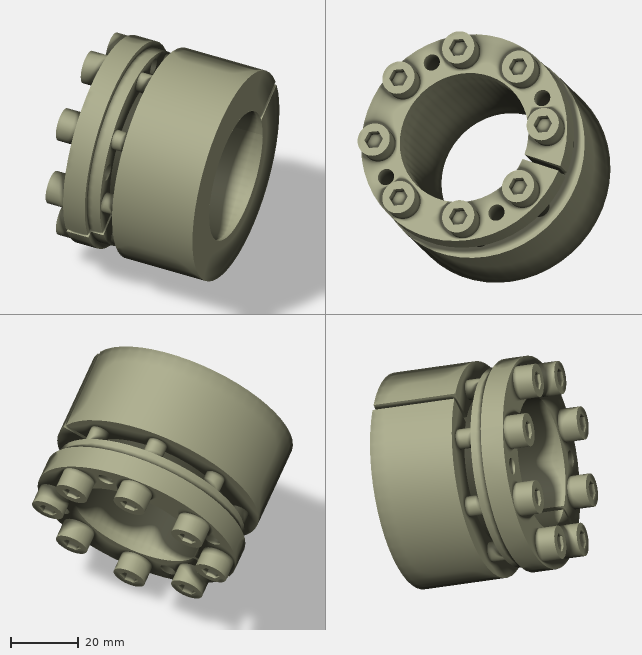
import cadquery as cq
import math


head_length = 6.0
flange_length = 7.0
collar_length = 4.0
gap_length = 5.0
outer_ring_length = 26.0

outer_diameter = 64.95
flange_diameter = 64.0
collar_diameter = 59.95
bore_diameter = 39.95
taper_mouth_diameter = 44.3
taper_end_diameter = 40.15

inner_slit_width = 1.5
outer_slit_width = 2.0
inner_slit_angle = 202.5
outer_slit_angle = inner_slit_angle - 180

screw_count = 8
screw_circle_diameter = 52.5
head_diameter = 10.0
shank_diameter = 6.0
socket_across_flats = 5.0
socket_depth = 3.0
jacking_hole_count = 4
jacking_hole_diameter = 5.0
first_jacking_angle = -180 / screw_count

flange_start = head_length
collar_start = flange_start + flange_length
collar_end = collar_start + collar_length
outer_start = collar_end + gap_length
far_end = outer_start + outer_ring_length

taper_slope = (taper_mouth_diameter - taper_end_diameter) / outer_ring_length
sleeve_root_diameter = taper_mouth_diameter + taper_slope * gap_length


def cylinder(diameter, start, end):
    """Solid cylinder on the X axis."""
    return cq.Workplane("YZ", origin=(start, 0, 0)).circle(diameter / 2).extrude(end - start)


def cone(start_diameter, end_diameter, start, end):
    """Solid truncated cone on the X axis."""
    profile = [
        (start, 0),
        (start, start_diameter / 2),
        (end, end_diameter / 2),
        (end, 0),
    ]
    return cq.Workplane("XY").polyline(profile).close().revolve(360, (0, 0, 0), (1, 0, 0))


def slit(width, angle):
    """Radial slab, reaching from the axis past the rings, that cuts a ring open."""
    slab = cq.Workplane("XY").box(far_end, outer_diameter, width, centered=(False, False, True))
    return slab.rotate((0, 0, 0), (1, 0, 0), angle)


def circle_positions(count, first_angle):
    """Evenly spaced (Y, Z) points on the screw circle."""
    radius = screw_circle_diameter / 2
    angles = [math.radians(first_angle + index * 360 / count) for index in range(count)]
    return [(radius * math.cos(angle), radius * math.sin(angle)) for angle in angles]


def axial_cylinders(diameter, positions, start, end):
    """Cylinders along X at the given (Y, Z) points."""
    plane = cq.Workplane("YZ", origin=(start, 0, 0))
    return plane.pushPoints(positions).circle(diameter / 2).extrude(end - start)


screw_positions = circle_positions(screw_count, 0)
jacking_positions = circle_positions(jacking_hole_count, first_jacking_angle)
screw_holes = axial_cylinders(shank_diameter, screw_positions, flange_start, far_end)


def make_inner_ring():
    """Flange, collar and tapered sleeve in one piece, bored through and slit on one side."""
    flange = cylinder(flange_diameter, flange_start, collar_start)
    collar = cylinder(collar_diameter, collar_start, collar_end)
    sleeve = cone(sleeve_root_diameter, taper_end_diameter, collar_end, far_end)
    ring = flange.union(collar).union(sleeve)
    ring = ring.cut(cylinder(bore_diameter, flange_start, far_end))
    ring = ring.cut(screw_holes)
    ring = ring.cut(axial_cylinders(jacking_hole_diameter, jacking_positions, flange_start, collar_end))
    return ring.cut(slit(inner_slit_width, inner_slit_angle))


def make_outer_ring():
    """Plain cylinder with a tapered bore and a slit opposite the one in the inner ring."""
    ring = cylinder(outer_diameter, outer_start, far_end)
    ring = ring.cut(cone(taper_mouth_diameter, taper_end_diameter, outer_start, far_end))
    ring = ring.cut(screw_holes)
    return ring.cut(slit(outer_slit_width, outer_slit_angle))


def make_screw(position):
    """Cap screw with a hexagon socket whose corners point along Y."""
    y, z = position
    head = cylinder(head_diameter, 0, head_length)
    shank = cylinder(shank_diameter, head_length, far_end)
    socket_across_corners = socket_across_flats / math.cos(math.pi / 6)
    socket = cq.Workplane("YZ").polygon(6, socket_across_corners).extrude(socket_depth)
    return head.union(shank).cut(socket).translate((0, y, z))


inner_ring = make_inner_ring()
outer_ring = make_outer_ring()
screws = [make_screw(position).val() for position in screw_positions]

result = cq.Compound.makeCompound([inner_ring.val(), outer_ring.val(), *screws])